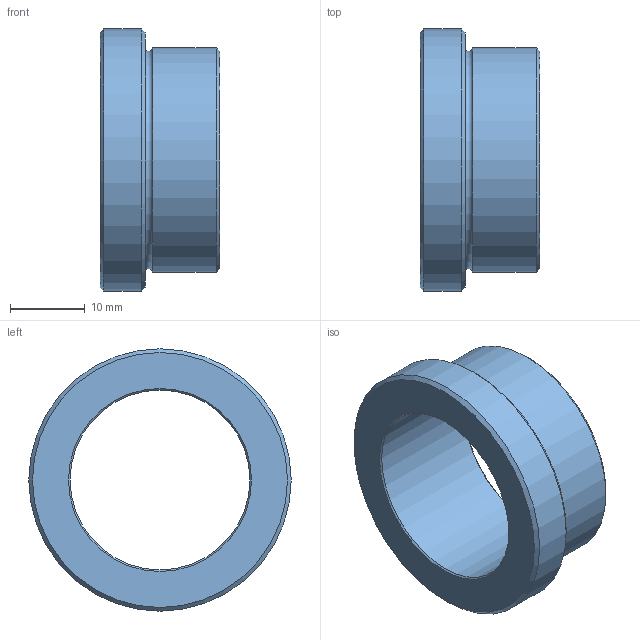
import cadquery as cq

total_length = 16.0
flange_length = 6.0
flange_diameter = 35.0
body_diameter = 30.0
bore_diameter = 24.0

outer_chamfer = 0.5
bore_chamfer = 0.2
groove_radius = 0.5

flange_radius = flange_diameter / 2
body_radius = body_diameter / 2
bore_radius = bore_diameter / 2
groove_end = flange_length + 2 * groove_radius


def bushing_profile():
    """Half section of the bushing wall: X along the axis, Y as radius."""
    return (
        cq.Workplane("XY")
        .moveTo(bore_chamfer, bore_radius)
        .lineTo(0, bore_radius + bore_chamfer)
        .lineTo(0, flange_radius - outer_chamfer)
        .lineTo(outer_chamfer, flange_radius)
        .lineTo(flange_length - outer_chamfer, flange_radius)
        .lineTo(flange_length, flange_radius - outer_chamfer)
        .lineTo(flange_length, body_radius)
        .threePointArc(
            (flange_length + groove_radius, body_radius - groove_radius),
            (groove_end, body_radius),
        )
        .lineTo(total_length - outer_chamfer, body_radius)
        .lineTo(total_length, body_radius - outer_chamfer)
        .lineTo(total_length, bore_radius + bore_chamfer)
        .lineTo(total_length - bore_chamfer, bore_radius)
        .close()
    )


result = bushing_profile().revolve(360, (0, 0, 0), (1, 0, 0))